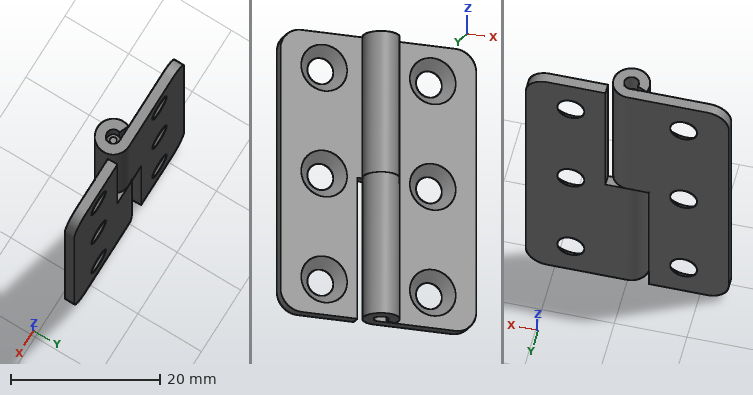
import cadquery as cq
import math

height = 40.0
width = 28.0
corner_radius = 3.0
clearance_edge = 3.0

knuckle_diameter = 5.0
pin_diameter = 2.0
lip_angle = 23.0
knuckle_radius = knuckle_diameter / 2
pin_radius = pin_diameter / 2
thickness = knuckle_radius - pin_radius
pin_tip_diameter = 0.95
pin_chamfer = (pin_diameter - pin_tip_diameter) / 2
pin_recess = 2.0

hole_diameter = 3.7
countersink_diameter = 6.55
countersink_angle = 90.0
hole_offset = 7.75
hole_pitch = 15.0
holes_per_leaf = 3


def make_plate():
    """Flat sheet left of the axis, narrowed in its lower half to clear the other knuckle."""
    plate = (
        cq.Workplane("XY")
        .box(width / 2, thickness, height, centered=(False, False, True))
        .translate((-width / 2, pin_radius, 0))
        .edges("<X and |Y")
        .fillet(corner_radius)
    )
    clearance = (
        cq.Workplane("XY")
        .box(clearance_edge, thickness, height / 2, centered=False)
        .translate((-clearance_edge, pin_radius, -height / 2))
    )
    return plate.cut(clearance)


def make_knuckle():
    """Open roll on the upper half, running from the sheet around the pin to a radial lip."""
    lip_x = -math.cos(math.radians(lip_angle))
    lip_y = math.sin(math.radians(lip_angle))
    return (
        cq.Workplane("XY")
        .moveTo(0, knuckle_radius)
        .threePointArc((0, -knuckle_radius), (knuckle_radius * lip_x, knuckle_radius * lip_y))
        .lineTo(pin_radius * lip_x, pin_radius * lip_y)
        .threePointArc((0, -pin_radius), (0, pin_radius))
        .close()
        .extrude(height / 2)
    )


def make_leaf():
    """Leaf on the left with its knuckle above and screw holes countersunk on the knuckle side."""
    blank = make_plate().union(make_knuckle())
    hole_plane = cq.Workplane("XZ", origin=(-hole_offset, pin_radius, 0))
    hole_points = blank.copyWorkplane(hole_plane).rarray(0.4, hole_pitch, 1, holes_per_leaf)
    return hole_points.cskHole(hole_diameter, countersink_diameter, countersink_angle, thickness)


def make_pin():
    """Straight pin with chamfered ends, recessed inside the knuckles."""
    return (
        cq.Workplane("XY")
        .circle(pin_radius)
        .extrude(height / 2 - pin_recess, both=True)
        .faces("|Z")
        .edges()
        .chamfer(pin_chamfer)
    )


leaf = make_leaf()
pin = make_pin()

leaves = []
for turn in (0, 180):
    leaves.append(leaf.rotate((0, 0, 0), (0, 1, 0), turn).val())

result = cq.Compound.makeCompound([*leaves, pin.val()])